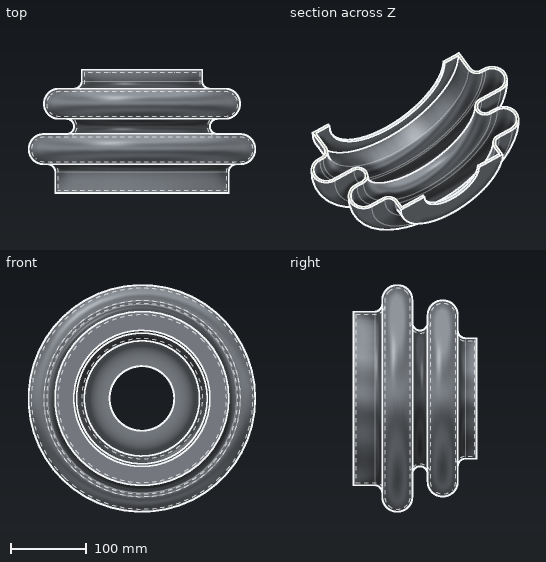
import cadquery as cq

outer_radius = 150
ring_radius = 20.0
valley_radius = 10.0
wall = 3.5

front_collar_radius = 115.0
front_collar_length = 28.2
rear_collar_radius = 79.8
rear_collar_length = 15
front_hole_radius = 90
rear_hole_radius = 42.5

front_root_center = front_collar_radius + valley_radius
front_ring_center = outer_radius - ring_radius
rear_ring_center = front_ring_center - ring_radius
valley_center = rear_ring_center - valley_radius
rear_root_center = rear_collar_radius + valley_radius
arc_spacing = valley_radius + ring_radius
front_ring_y = front_collar_length + arc_spacing
valley_y = front_ring_y + arc_spacing
rear_ring_y = valley_y + arc_spacing
rear_root_y = rear_ring_y + arc_spacing
length = rear_root_y + rear_collar_length


def half_circle(path, center, y, radius, side):
    """Half circle travelling toward +Y; side is 1 for a ring and -1 for a valley."""
    path = path.lineTo(center, y - radius)
    return path.threePointArc((center + side * radius, y), (center, y + radius))


def bellows(offset):
    """Solid of revolution whose surface lies the offset inside the outer skin."""
    ring = ring_radius - offset
    valley = valley_radius + offset
    front_radius = front_collar_radius - offset
    rear_radius = rear_collar_radius - offset

    path = cq.Workplane("XY").moveTo(0, offset).lineTo(front_radius, offset)
    path = path.lineTo(front_radius, front_collar_length)
    path = path.radiusArc((front_root_center, front_collar_length + valley), valley)
    path = half_circle(path, front_ring_center, front_ring_y, ring, 1)
    path = half_circle(path, valley_center, valley_y, valley, -1)
    path = half_circle(path, rear_ring_center, rear_ring_y, ring, 1)
    path = path.lineTo(rear_root_center, rear_root_y - valley)
    path = path.radiusArc((rear_radius, rear_root_y), valley)
    path = path.lineTo(rear_radius, length - offset).lineTo(0, length - offset).close()
    return path.revolve(360, (0, 0, 0), (0, 1, 0))


def end_hole(radius, start_y):
    """Round hole through the end plate that begins at start_y."""
    return cq.Workplane("XZ", origin=(0, start_y, 0)).circle(radius).extrude(-wall)


shell = bellows(0).cut(bellows(wall))
front_hole = end_hole(front_hole_radius, 0)
rear_hole = end_hole(rear_hole_radius, length - wall)

result = shell.cut(front_hole).cut(rear_hole)